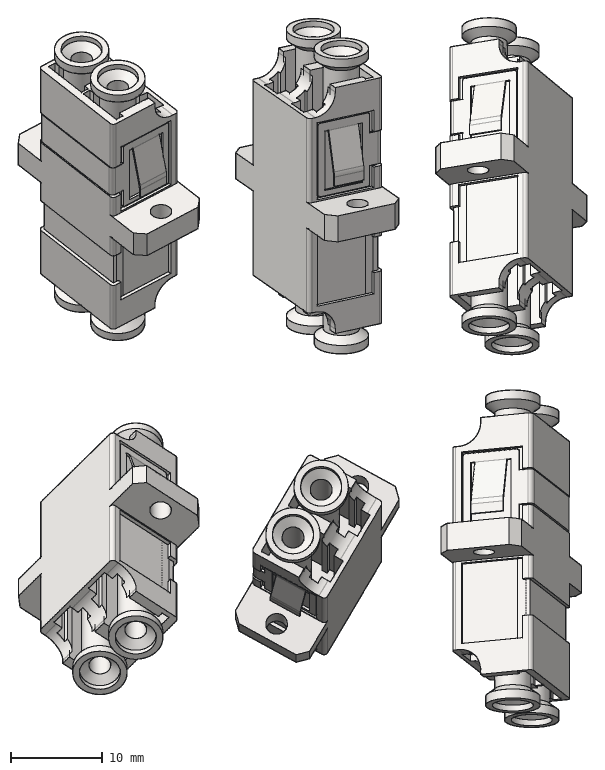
import cadquery as cq
import math


TOTAL_HEIGHT = 35.05

BODY_WIDTH = 12.75
DEPTH = 9.35
EDGE_RADIUS = 0.45
CAP_PROJECTION = 2.9
BODY_TOP = TOTAL_HEIGHT / 2 - CAP_PROJECTION
FRONT = -DEPTH / 2
BACK = DEPTH / 2
SIDE = BODY_WIDTH / 2

FLANGE_WIDTH = 22.0
FLANGE_THICKNESS = 3.1
FLANGE_CHAMFER = 1.1
MOUNT_HOLE_DIAMETER = 2.35
MOUNT_HOLE_SPACING = 18.0

NOTCH_HEIGHT = 3.05
NOTCH_RADIUS = 2.52
NOTCH_WALL = FRONT + 6.0

OPENING_SPACING = 6.0
OPENING_FLOOR = FLANGE_THICKNESS / 2
FOOT_WIDTH = 5.68
CHANNEL_WIDTH = 4.45
LATCH_NECK_WIDTH = 3.47
KEY_WIDTH = 2.77
FOOT_START = FRONT + 0.95
CHANNEL_START = FRONT + 1.9
LATCH_NECK_START = FRONT + 6.0
SHOULDER_START = FRONT + 6.65
KEY_START = FRONT + 7.7
KEY_END = FRONT + 8.85

RECESS_DEPTH = 0.42
RECESS_CORNER_RADIUS = 0.35
RECESS_FRONT = FRONT + 1.15
RECESS_BACK = FRONT + 8.25
RECESS_BOTTOM = 1.75
RECESS_TOP = 10.9
BAND_RECESS_BOTTOM = 4.17
BAND_RECESS_TOP = 8.38
CORE_SIDE = SIDE - RECESS_DEPTH
CORE_FRONT = FRONT + RECESS_DEPTH

CLIP_SIDE_THICKNESS = 0.28
CLIP_SIDE = CORE_SIDE + CLIP_SIDE_THICKNESS
CLIP_BEND_RADIUS = 0.53
ARM_CLEARANCE = 0.2
ARM_FRONT = FRONT + 1.6
ARM_BACK = FRONT + 8.05
ARM_BOTTOM = RECESS_BOTTOM + ARM_CLEARANCE
ARM_TOP = RECESS_TOP - ARM_CLEARANCE
ARM_CORNER_RADIUS = 0.2
BAND_BOTTOM = 4.38
BAND_TOP = 8.27
WINDOW_FRONT = FRONT + 2.52
WINDOW_BACK = FRONT + 7.22
WINDOW_BOTTOM = 2.6
WINDOW_TOP = 9.65
FINGER_WIDTH = 3.7
FINGER_THICKNESS = 0.2
FINGER_REACH = 7.5
FINGER_BEND_Z = 4.85
FINGER_TIP_Z = 3.45
FINGER_BEND_RADIUS = 2.3

CAP_SPACING = 6.25
CAP_Y = FRONT + 3.4
RIM_RADIUS = 2.98
RIM_HEIGHT = 1.0
FLARE_HEIGHT = 0.77
NECK_RADIUS = 2.0
MOUTH_RADIUS = 2.25
MOUTH_DEPTH = 0.65
FUNNEL_DEPTH = 0.75
BORE_RADIUS = 1.2


def box_between(x0, x1, y0, y1, z0, z1):
    """Axis-aligned box given by its limits."""
    return cq.Workplane("XY").box(x1 - x0, y1 - y0, z1 - z0, centered=False).translate((x0, y0, z0))


def mirrored_pair(shape, plane):
    """The shape together with its mirror image, as one cutting or joining tool."""
    return shape.union(shape.mirror(plane))


def end_notch():
    """Cutter for the concave step at the back of the top end."""
    ledge = BODY_TOP - NOTCH_HEIGHT
    centre_y = NOTCH_WALL + NOTCH_RADIUS
    centre_z = ledge + NOTCH_RADIUS
    diagonal = NOTCH_RADIUS * math.sqrt(0.5)
    return (
        cq.Workplane("YZ")
        .moveTo(BACK, BODY_TOP)
        .lineTo(NOTCH_WALL, BODY_TOP)
        .lineTo(NOTCH_WALL, centre_z)
        .threePointArc((centre_y - diagonal, centre_z - diagonal), (centre_y, ledge))
        .lineTo(BACK, ledge)
        .close()
        .extrude(SIDE, both=True)
    )


def opening(centre_x):
    """Cutter for one keyed opening in the top end, down to the flange."""
    steps = [
        (FOOT_WIDTH, FOOT_START, CHANNEL_START),
        (CHANNEL_WIDTH, CHANNEL_START, LATCH_NECK_START),
        (LATCH_NECK_WIDTH, LATCH_NECK_START, SHOULDER_START),
        (CHANNEL_WIDTH, SHOULDER_START, KEY_START),
        (KEY_WIDTH, KEY_START, KEY_END),
    ]
    cutter = cq.Workplane("XY")
    for width, y0, y1 in steps:
        x0 = centre_x - width / 2
        cutter = cutter.union(box_between(x0, x0 + width, y0, y1, OPENING_FLOOR, BODY_TOP))
    return cutter


def recess_core(corner_radius):
    """Material left inside the clip recess; a zero radius leaves its front corners sharp."""
    core = box_between(-CORE_SIDE, CORE_SIDE, CORE_FRONT, BACK, RECESS_BOTTOM, RECESS_TOP)
    if corner_radius > 0:
        core = core.edges("|Z and <Y").fillet(corner_radius)
    return core


def clip_recess(corner_radius):
    """Cutter for the clip recess: a wide area on each side and a band across the front."""
    sides = box_between(-SIDE, SIDE, RECESS_FRONT, RECESS_BACK, RECESS_BOTTOM, RECESS_TOP)
    band = box_between(-SIDE, SIDE, FRONT, RECESS_FRONT, BAND_RECESS_BOTTOM, BAND_RECESS_TOP)
    return sides.union(band).cut(recess_core(corner_radius))


def make_housing():
    body = (
        cq.Workplane("XY")
        .box(BODY_WIDTH, DEPTH, 2 * BODY_TOP)
        .edges("|Z")
        .fillet(EDGE_RADIUS)
    )
    body = body.cut(mirrored_pair(end_notch(), "XY"))
    body = body.cut(clip_recess(RECESS_CORNER_RADIUS))
    body = body.cut(clip_recess(0).mirror("XY"))
    for side in (-1, 1):
        body = body.cut(mirrored_pair(opening(side * OPENING_SPACING / 2), "XY"))

    flange = (
        cq.Workplane("XY")
        .box(FLANGE_WIDTH, DEPTH, FLANGE_THICKNESS)
        .edges("|Z")
        .chamfer(FLANGE_CHAMFER)
        .faces(">Z")
        .workplane()
        .rarray(MOUNT_HOLE_SPACING, 0.35, 2, 1)
        .hole(MOUNT_HOLE_DIAMETER)
    )
    return body.union(flange)


def spring_finger():
    """Finger on the +X arm: it slopes out from the window's top edge, then hangs straight down."""
    drop = WINDOW_TOP - FINGER_BEND_Z
    lean = math.atan2(FINGER_REACH - CLIP_SIDE, drop)
    inner_top_x = CLIP_SIDE - FINGER_THICKNESS / math.cos(lean)
    inner_reach = FINGER_REACH - FINGER_THICKNESS
    inner_bend_z = FINGER_BEND_Z - FINGER_THICKNESS * math.tan(lean / 2)
    finger_back = (WINDOW_FRONT + WINDOW_BACK + FINGER_WIDTH) / 2
    outer_bend = cq.selectors.NearestToPointSelector(
        (FINGER_REACH, finger_back - FINGER_WIDTH / 2, FINGER_BEND_Z)
    )
    inner_bend = cq.selectors.NearestToPointSelector(
        (inner_reach, finger_back - FINGER_WIDTH / 2, inner_bend_z)
    )
    return (
        cq.Workplane("XZ", origin=(0, finger_back, 0))
        .moveTo(CLIP_SIDE, WINDOW_TOP)
        .lineTo(FINGER_REACH, FINGER_BEND_Z)
        .lineTo(FINGER_REACH, FINGER_TIP_Z)
        .lineTo(inner_reach, FINGER_TIP_Z)
        .lineTo(inner_reach, inner_bend_z)
        .lineTo(inner_top_x, WINDOW_TOP)
        .close()
        .extrude(FINGER_WIDTH)
        .edges(outer_bend)
        .fillet(FINGER_BEND_RADIUS)
        .edges(inner_bend)
        .fillet(FINGER_BEND_RADIUS - FINGER_THICKNESS)
    )


def make_clip():
    """U-shaped clip: a front band joining two side arms, each with a window and a finger."""
    arms = (
        box_between(-CLIP_SIDE, CLIP_SIDE, ARM_FRONT, ARM_BACK, ARM_BOTTOM, ARM_TOP)
        .edges("|X")
        .fillet(ARM_CORNER_RADIUS)
    )
    band = (
        box_between(-CLIP_SIDE, CLIP_SIDE, FRONT, ARM_FRONT, BAND_BOTTOM, BAND_TOP)
        .edges("|Z and <Y")
        .fillet(CLIP_BEND_RADIUS)
    )
    windows = box_between(
        -CLIP_SIDE, CLIP_SIDE, WINDOW_FRONT, WINDOW_BACK, WINDOW_BOTTOM, WINDOW_TOP
    )
    clip = arms.union(band).cut(recess_core(RECESS_CORNER_RADIUS)).cut(windows)
    return clip.union(spring_finger()).union(spring_finger().mirror("YZ"))


def make_cap(x, end):
    """Bored dust cap standing on an opening's floor; end is +1 at the top and -1 at the bottom."""
    rim_top = TOTAL_HEIGHT / 2
    rim_bottom = rim_top - RIM_HEIGHT
    flare_bottom = rim_bottom - FLARE_HEIGHT
    mouth_bottom = rim_top - MOUTH_DEPTH
    funnel_bottom = mouth_bottom - FUNNEL_DEPTH
    cap = (
        cq.Workplane("XZ")
        .moveTo(BORE_RADIUS, OPENING_FLOOR)
        .lineTo(NECK_RADIUS, OPENING_FLOOR)
        .lineTo(NECK_RADIUS, flare_bottom)
        .lineTo(RIM_RADIUS, rim_bottom)
        .lineTo(RIM_RADIUS, rim_top)
        .lineTo(MOUTH_RADIUS, rim_top)
        .lineTo(MOUTH_RADIUS, mouth_bottom)
        .lineTo(BORE_RADIUS, funnel_bottom)
        .close()
        .revolve(360, (0, 0, 0), (0, 1, 0))
    )
    if end < 0:
        cap = cap.mirror("XY")
    return cap.translate((x, CAP_Y, 0))


housing = make_housing()
clip = make_clip()
caps = []
for end in (-1, 1):
    for side in (-1, 1):
        caps.append(make_cap(side * CAP_SPACING / 2, end))

result = cq.Compound.makeCompound([housing.val(), clip.val(), *[cap.val() for cap in caps]])